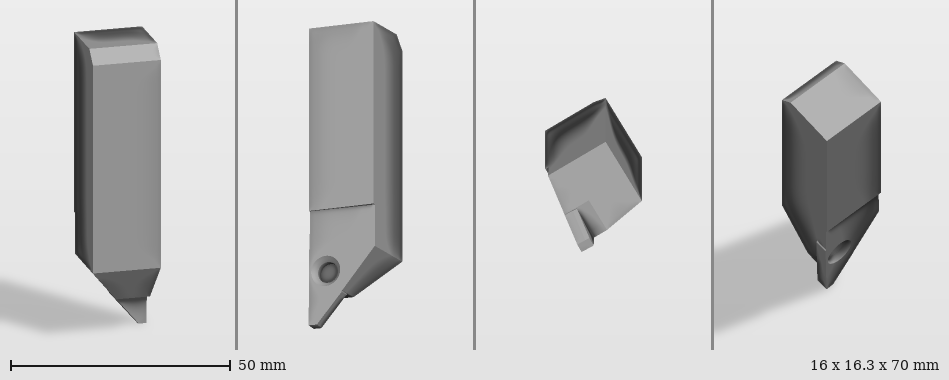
import cadquery as cq
import math

shank = 16.0
total_height = 70.0
top_chamfer = 3.1
holder_bottom = 7.5
slope_top = 17.2
slope_run_y = 8.0
slope_run_x = 9.25

seat_top = 27.0
seat_turn = 1.8
seat_lean = 0.9
tip_overhang = 0.03

insert_thickness = 3.15
insert_width = 8.0
insert_top = 25.0
top_edge_length = 1.75
back_corner_height = 17.85
inner_corner_height = 7.2
back_overhang = 0.18
tip_back_overhang = 0.105
tip_width = 1.9
relief_width = 1.05
relief_depth = 0.15

hole_diameter = 4.9
sink_diameter = 7.15
sink_depth = 1.4
hole_from_back = 4.0
hole_height = 12.5

sink_angle = 2 * math.degrees(math.atan((sink_diameter - hole_diameter) / 2 / sink_depth))

turn = math.tan(math.radians(seat_turn))
lean = math.tan(math.radians(seat_lean))
seat_plane = cq.Plane(
    origin=(-tip_overhang, shank, 0),
    xDir=(-turn, 1, 0),
    normal=(1, turn, -lean),
)
tip_height = insert_thickness * math.sin(math.radians(seat_lean))


def make_insert_blank():
    """Insert without its hole or relief; also used to cut the pocket."""
    return (
        cq.Workplane(seat_plane)
        .polyline([
            (-tip_width, tip_height),
            (tip_back_overhang, tip_height),
            (back_overhang, back_corner_height),
            (top_edge_length - insert_width, insert_top),
            (-insert_width, insert_top),
            (-insert_width, inner_corner_height),
        ])
        .close()
        .extrude(insert_thickness)
    )


def make_relief_cutter():
    """Wedge that trims the rear band of the sloping cutting side."""
    run = insert_width - tip_width
    rise = inner_corner_height - tip_height
    slope_length = math.hypot(run, rise)
    along = seat_plane.toWorldCoords((run, -rise, 0)) - seat_plane.origin
    outward = seat_plane.toWorldCoords((-rise, -run, 0)) - seat_plane.origin
    start = seat_plane.toWorldCoords((-insert_width, inner_corner_height, insert_thickness))
    wedge_plane = cq.Plane(origin=start, xDir=outward, normal=along)
    return (
        cq.Workplane(wedge_plane)
        .polyline([(0, 0), (-relief_depth, 0), (0, relief_width)])
        .close()
        .extrude(slope_length)
    )


def make_insert():
    """Insert with a countersunk screw hole."""
    return (
        make_insert_blank()
        .cut(make_relief_cutter())
        .copyWorkplane(cq.Workplane(seat_plane.rotated((180, 0, 0))))
        .pushPoints([(-hole_from_back, -hole_height)])
        .cskHole(hole_diameter, sink_diameter, sink_angle)
    )


def make_holder():
    """Chamfered shank with two lower slopes, a tilted seat and the insert pocket."""
    body = (
        cq.Workplane("XZ")
        .polyline([
            (0, holder_bottom),
            (shank - slope_run_x, holder_bottom),
            (shank, slope_top),
            (shank, total_height - top_chamfer),
            (shank - top_chamfer, total_height),
            (0, total_height),
        ])
        .close()
        .extrude(-shank)
    )
    front_slope = (
        cq.Workplane("YZ")
        .polyline([(0, slope_top), (slope_run_y, holder_bottom), (0, holder_bottom)])
        .close()
        .extrude(shank)
    )
    cutter_size = 4 * shank
    seat_cut = (
        cq.Workplane(seat_plane)
        .rect(cutter_size, cutter_size)
        .extrude(-shank)
        .intersect(
            cq.Workplane("XY").box(cutter_size, cutter_size, seat_top, centered=(True, True, False))
        )
    )
    return body.cut(front_slope).cut(seat_cut).cut(make_insert_blank())


holder = make_holder()
insert = make_insert()
result = cq.Compound.makeCompound([holder.val(), insert.val()])